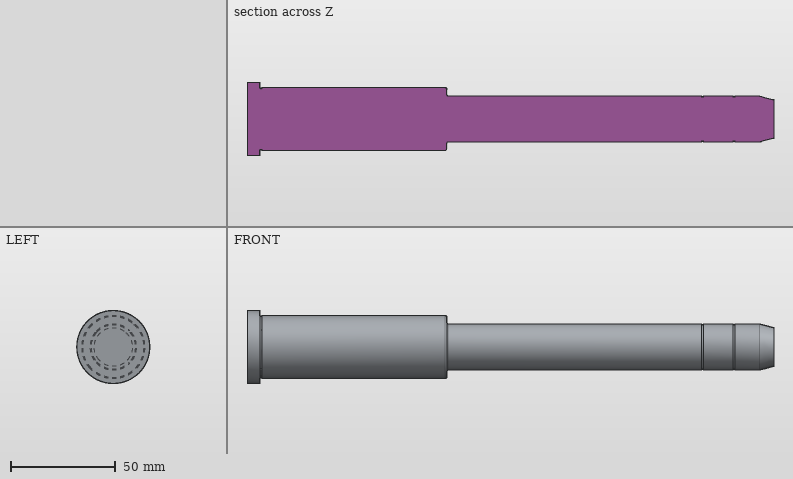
import cadquery as cq
import math

total_length = 251.0
head_diameter = 35.0
head_length = 6.0
collar_diameter = 30.0
collar_end = 95.1
shaft_diameter = 22.0

collar_edge_fillet = 1.0
shaft_root_fillet = 0.5

groove_width = 1.0
undercut_start = head_length
ring_starts = (216.4, 231.5)

tip_length = 7.0
tip_angle = 15.0

head_face = -total_length / 2
head_radius = head_diameter / 2
collar_radius = collar_diameter / 2
shaft_radius = shaft_diameter / 2
straight_end = total_length - tip_length
tip_radius = shaft_radius - tip_length * math.tan(math.radians(tip_angle))


def cylinder(start, length, radius):
    """Solid cylinder along X, starting at a distance from the head face."""
    return cq.Workplane("YZ", origin=(head_face + start, 0, 0)).circle(radius).extrude(length)


def make_tip():
    """Cone that narrows from the shaft to the flat end face."""
    base = cq.Vector(head_face + straight_end, 0, 0)
    cone = cq.Solid.makeCone(shaft_radius, tip_radius, tip_length, base, cq.Vector(1, 0, 0))
    return cq.Workplane(cone)


def make_root_fillet():
    """Concave ring blending the collar shoulder into the shaft."""
    middle = shaft_root_fillet * (1 - math.sqrt(0.5))
    return (
        cq.Workplane("XY", origin=(head_face + collar_end, 0, 0))
        .lineTo(0, shaft_radius + shaft_root_fillet)
        .threePointArc((middle, shaft_radius + middle), (shaft_root_fillet, shaft_radius))
        .lineTo(shaft_root_fillet, 0)
        .close()
        .revolve(360, (0, 0, 0), (1, 0, 0))
    )


def groove(start, radius):
    """Ring cutter that sinks a half-round groove into a cylinder of the given radius."""
    centre = cq.Vector(head_face + start + groove_width / 2, 0, 0)
    torus = cq.Solid.makeTorus(radius, groove_width / 2, centre, cq.Vector(1, 0, 0))
    return cq.Workplane(torus)


head = cylinder(0, head_length, head_radius)

collar = cylinder(0, collar_end, collar_radius)
collar = collar.faces(">X").edges().fillet(collar_edge_fillet)
collar = collar.cut(groove(undercut_start, collar_radius))

shaft = cylinder(0, straight_end, shaft_radius).union(make_tip())
for ring_start in ring_starts:
    shaft = shaft.cut(groove(ring_start, shaft_radius))

result = head.union(collar).union(make_root_fillet()).union(shaft)